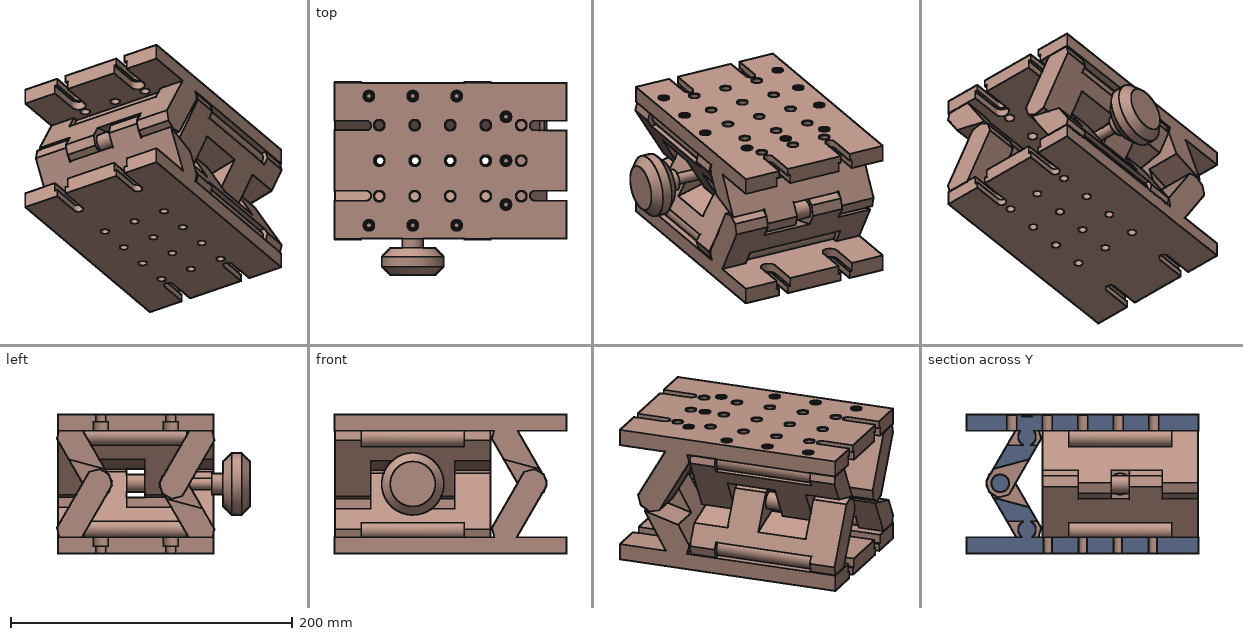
import cadquery as cq
import math

HEIGHT = 99.0
PLATE_LENGTH = 165.1
PLATE_WIDTH = 110.8
PLATE_THICKNESS = 11.7
HALF_WIDTH = PLATE_WIDTH / 2
HALF_HEIGHT = HEIGHT / 2
PLATE_INNER_Z = HALF_HEIGHT - PLATE_THICKNESS

LEAF_THICKNESS = 18.8
LEAF_LENGTH = PLATE_WIDTH
FINGER_LENGTH = 25.5
NOTCH_DISTANCE = 11.0
PIN_GAP = 12.9
PIN_DIAMETER = 12.7
FOOT_INSET = 9.4
FOOT_Z = 33.0
LEAN_ANGLE = 60.0
FOOT_WINDOW = 73.0
WINDOW_EDGE_Z = 27.0
KNUCKLE_OFFSET_Z = 0.5
SIDE_HINGE_START_X = 0.3
END_HINGE_X = 112.6

SLOT_Y = 25.0
SLOT_WIDTH = 7.0
SLOT_HEAD_WIDTH = 10.7
SLOT_HEAD_DEPTH = 6.5
SLOT_END_X = 26.1

TOP_HOLE_PITCH = 25.3
TOP_HOLE_FIRST_X = 31.9
TOP_HOLE_COLUMNS = 5
TOP_HOLE_DIAMETER = 7.0
HOLE_MOUTH_DIAMETER = 8.0
BASE_HOLE_PITCH = 25.0
BASE_HOLE_FIRST_X = 32.5
BASE_HOLE_COLUMNS = 4
BASE_HOLE_DIAMETER = 6.0

SCREW_PITCH = 31.2
SCREW_HEAD_DIAMETER = 6.0
SCREW_SOCKET_DIAMETER = 4.0
SCREW_RECESS_DEPTH = 1.5
SCREW_HEAD_HEIGHT = 1.0

KNOB_DIAMETER = 44.2
KNOB_FRONT_Y = -81.4
KNOB_LENGTH = 19.3
KNOB_CHAMFER = 6.1
COLLAR_DIAMETER = 15.2
COLLAR_LENGTH = 8.1
SHAFT_DIAMETER = 8.0

KNUCKLE_INSET = FOOT_INSET + FOOT_Z / math.tan(math.radians(LEAN_ANGLE))
OCTAGON_TURN = 45.0
OCTAGON_RADIUS = LEAF_THICKNESS / 2 / math.cos(math.radians(OCTAGON_TURN / 2))
CUTTER_WIDTH = 4 * LEAF_THICKNESS
LEAF_MID = LEAF_LENGTH / 2
SIDE_HINGE_X = SIDE_HINGE_START_X + LEAF_MID


def end_corners(inset, z, axis_angle):
    """Four corners, counterclockwise, of the octagonal leaf end that points along axis_angle."""
    corners = []
    for step in (-1.5, -0.5, 0.5, 1.5):
        direction = math.radians(axis_angle + step * OCTAGON_TURN)
        across = OCTAGON_RADIUS * math.cos(direction)
        rise = OCTAGON_RADIUS * math.sin(direction)
        corners.append((inset + across, z + rise))
    return corners


def along_hinge(section, start, end):
    """Extrude a YZ section along the hinge axis from start to end."""
    return section.extrude(end - start).translate((start, 0, 0))


def lower_leaf():
    """Lower leaf of a hinge whose axis is along X and whose outer side is at Y = 0."""
    knuckle = end_corners(KNUCKLE_INSET, 0, LEAN_ANGLE)
    foot = end_corners(FOOT_INSET, -FOOT_Z, LEAN_ANGLE + 180)
    leaf = along_hinge(cq.Workplane("YZ").polyline(knuckle + foot).close(), 0, LEAF_LENGTH)

    floor_angle = math.radians(LEAN_ANGLE - OCTAGON_TURN)
    floor_z = -NOTCH_DISTANCE / math.cos(floor_angle)
    floor_drop = CUTTER_WIDTH / 2 * math.tan(floor_angle)
    inner = KNUCKLE_INSET + CUTTER_WIDTH / 2
    outer = KNUCKLE_INSET - CUTTER_WIDTH / 2
    notch_outline = [
        (outer, floor_z - floor_drop),
        (inner, floor_z + floor_drop),
        (inner, LEAF_THICKNESS),
        (outer, LEAF_THICKNESS),
    ]
    notches = [
        (0, FINGER_LENGTH),
        (LEAF_MID - PIN_GAP / 2, LEAF_LENGTH - FINGER_LENGTH),
    ]
    for start, end in notches:
        leaf = leaf.cut(along_hinge(cq.Workplane("YZ").polyline(notch_outline).close(), start, end))

    window = (
        cq.Workplane("XY", origin=(LEAF_MID, FOOT_INSET, -WINDOW_EDGE_Z))
        .rect(FOOT_WINDOW, CUTTER_WIDTH)
        .extrude(-LEAF_THICKNESS)
    )
    pin = cq.Workplane("YZ").center(FOOT_INSET, -FOOT_Z).circle(PIN_DIAMETER / 2)
    pin_start = LEAF_MID - FOOT_WINDOW / 2
    return leaf.cut(window).union(along_hinge(pin, pin_start, pin_start + FOOT_WINDOW))


def hinge():
    """Two alike leaves joined by the knuckle pin, centred on X = 0, knuckle just below mid height."""
    lower = lower_leaf()
    upper = lower.rotate((LEAF_MID, 0, 0), (LEAF_MID, 1, 0), 180)
    pin = cq.Workplane("YZ").center(KNUCKLE_INSET, 0).circle(PIN_DIAMETER / 2)
    knuckle_pin = along_hinge(pin, FINGER_LENGTH / 2, LEAF_LENGTH - FINGER_LENGTH / 2)
    pair = lower.union(upper).union(knuckle_pin).translate((-LEAF_MID, 0, -KNUCKLE_OFFSET_Z))

    between_plates = cq.Workplane("XY").box(2 * LEAF_LENGTH, 2 * CUTTER_WIDTH, 2 * PLATE_INNER_Z)
    return pair.intersect(between_plates)


def end_slot(end_x, y, width, depth):
    """Round-ended slot open at a plate end; both slot widths share the same end centre."""
    reach = SLOT_END_X - SLOT_WIDTH / 2
    return (
        cq.Workplane("XY", origin=(end_x, y, 0))
        .slot2D(2 * reach + width, width)
        .extrude(-depth)
    )


def slotted_plate():
    """Plate with its inner (upper) side at Z = 0 and T-slots at both ends, widest on that side."""
    plate = cq.Workplane("XY").box(PLATE_LENGTH, PLATE_WIDTH, PLATE_THICKNESS, centered=(False, True, False))
    plate = plate.translate((0, 0, -PLATE_THICKNESS))
    for end_x in (0, PLATE_LENGTH):
        for y in (-SLOT_Y, SLOT_Y):
            plate = plate.cut(end_slot(end_x, y, SLOT_WIDTH, PLATE_THICKNESS))
            plate = plate.cut(end_slot(end_x, y, SLOT_HEAD_WIDTH, SLOT_HEAD_DEPTH))
    return plate


def grid(first_x, pitch, columns):
    """Hole centres in three rows about the plate's centre line."""
    return [(first_x + pitch * column, pitch * row) for column in range(columns) for row in (-1, 0, 1)]


def base_plate():
    """Lower plate with plain through holes."""
    holes = (
        cq.Workplane("XY")
        .pushPoints(grid(BASE_HOLE_FIRST_X, BASE_HOLE_PITCH, BASE_HOLE_COLUMNS))
        .circle(BASE_HOLE_DIAMETER / 2)
        .extrude(-PLATE_THICKNESS)
    )
    return slotted_plate().cut(holes).translate((0, 0, -PLATE_INNER_Z))


def at_points(shape, points):
    """Copies of a shape centred on the Z axis, moved to the given XY positions."""
    copies = cq.Workplane("XY")
    for x, y in points:
        copies = copies.add(shape.translate((x, y, 0)))
    return copies.combine()


def countersunk_hole(depth):
    """Round hole of the given depth in the top face, with a 45 degree countersunk mouth."""
    top_face = cq.Workplane("XY", origin=(0, 0, HALF_HEIGHT))
    bore = top_face.circle(TOP_HOLE_DIAMETER / 2).extrude(-depth)
    countersink = (
        top_face.circle(HOLE_MOUTH_DIAMETER / 2)
        .workplane(offset=-(HOLE_MOUTH_DIAMETER - TOP_HOLE_DIAMETER) / 2)
        .circle(TOP_HOLE_DIAMETER / 2)
        .loft()
    )
    return bore.union(countersink)


def foot_screw_recess():
    """Recess around a screw head, and the socket in the head."""
    head = cq.Workplane("XY", origin=(0, 0, HALF_HEIGHT - SCREW_RECESS_DEPTH))
    raised_head = head.circle(SCREW_HEAD_DIAMETER / 2).extrude(SCREW_HEAD_HEIGHT)
    socket = head.circle(SCREW_SOCKET_DIAMETER / 2).extrude(SCREW_HEAD_HEIGHT)
    return countersunk_hole(SCREW_RECESS_DEPTH).cut(raised_head).union(socket)


def top_plate():
    """Upper plate with countersunk holes and the screws that hold the foot pins."""
    plate = slotted_plate().rotate((0, 0, 0), (1, 0, 0), 180).translate((0, 0, PLATE_INNER_Z))
    hole_points = grid(TOP_HOLE_FIRST_X, TOP_HOLE_PITCH, TOP_HOLE_COLUMNS)
    plate = plate.cut(at_points(countersunk_hole(PLATE_THICKNESS), hole_points))

    side_y = HALF_WIDTH - FOOT_INSET
    screw_points = []
    for along in (-SCREW_PITCH, 0, SCREW_PITCH):
        screw_points += [
            (SIDE_HINGE_X + along, -side_y),
            (SIDE_HINGE_X + along, side_y),
            (END_HINGE_X + FOOT_INSET, along),
        ]
    return plate.cut(at_points(foot_screw_recess(), screw_points))


def clamping_screw():
    """Knob, collar and shaft in line with the gap of the front hinge, ending in its knuckle pin."""
    def turned(diameter, start_y, length):
        plane = cq.Workplane("XZ", origin=(SIDE_HINGE_X, start_y, 0))
        return plane.circle(diameter / 2).extrude(-length)

    knob = turned(KNOB_DIAMETER, KNOB_FRONT_Y, KNOB_LENGTH).edges().chamfer(KNOB_CHAMFER)
    collar_y = KNOB_FRONT_Y + KNOB_LENGTH
    collar = turned(COLLAR_DIAMETER, collar_y, COLLAR_LENGTH)
    pin_y = KNUCKLE_INSET - HALF_WIDTH
    shaft = turned(SHAFT_DIAMETER, collar_y, pin_y - collar_y)
    return knob.union(collar).union(shaft)


low_hinge = hinge()
high_hinge = low_hinge.rotate((0, 0, 0), (1, 0, 0), 180)
front_hinge = low_hinge.translate((SIDE_HINGE_X, -HALF_WIDTH, 0))
back_hinge = high_hinge.translate((SIDE_HINGE_X, HALF_WIDTH, 0))
end_hinge = high_hinge.rotate((0, 0, 0), (0, 0, 1), 90).translate((END_HINGE_X, 0, 0))

result = (
    base_plate()
    .union(front_hinge)
    .union(back_hinge)
    .union(end_hinge)
    .union(top_plate())
    .union(clamping_screw())
)